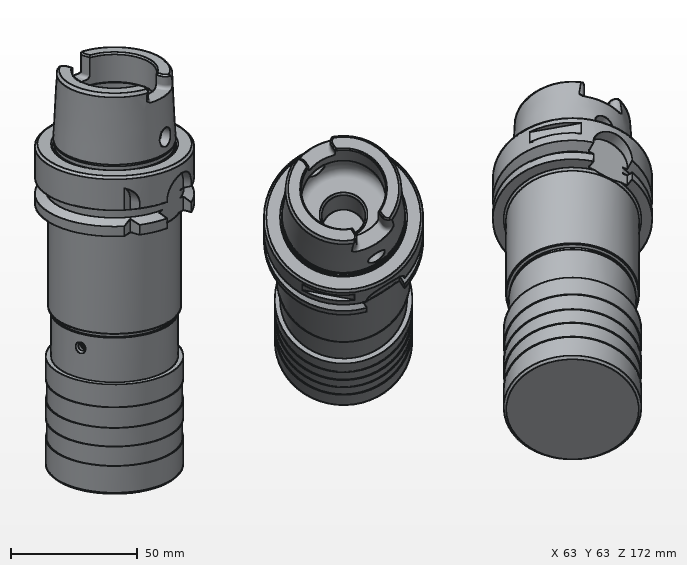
import cadquery as cq
import math

TOTAL_HEIGHT = 172.0
FLANGE_TOP = 140.0
FLANGE_BOTTOM = 114.2

SLEEVE_RADIUS = 27.2
SLEEVE_RELIEF = 0.3
SLEEVE_CHAMFER = 1.0
BAND_EDGES = [12.5, 21.0, 29.0, 38.0, 48.0]

NECK_RADIUS = 25.1
NECK_TOP = 67.3
NECK_GROOVE_RADIUS = 24.8
NECK_GROOVE_TOP = 68.8
BODY_RADIUS = 26.3
BODY_BOTTOM = 69.7
BODY_CHAMFER = 0.3
COLLAR_RADIUS = 27.2
COLLAR_HEIGHT = 1.0

FLANGE_RADIUS = 31.5
FLANGE_CHAMFER = 1.0
GRIP_GROOVE_RADIUS = 27.3
GRIP_GROOVE_BOTTOM = 118.5
GRIP_GROOVE_TOP = 125.5
GRIP_WALL_RISE = 1.9

FACE_GROOVE_RADIUS = 25.1
FACE_GROOVE_DEPTH = 0.7
UNDERCUT_RADIUS = 23.7
UNDERCUT_HEIGHT = 1.0
UNDERCUT_TOP = 2.0
TAPER_BASE_RADIUS = 24.3
TAPER_TOP_RADIUS = 22.9
TOP_CHAMFER = 1.0
TOP_CHAMFER_HEIGHT = 1.4

MOUTH_RADIUS = 17.2
MOUTH_CHAMFER_HEIGHT = 0.9
BORE_RADIUS = 16.7
LIP_BOTTOM = 159.3
LIP_UNDERSIDE_ANGLE = 30
CAVITY_RADIUS = 19.8
CAVITY_FLOOR = 142.8
CAVITY_FLOOR_FILLET = 4.0
COOLANT_RADIUS = 8.6
COOLANT_CHAMFER = 0.9
COOLANT_DEPTH = 17.2
CROSS_HOLE_RADIUS = 4.0
CROSS_HOLE_HEIGHT = 148.8

KEYWAY_HALF_WIDTH = 6.2
KEYWAY_CORNER = 3.1
KEYWAY_FLARE_START = 21.0
KEYWAY_FLOOR_FILLET = 1.5
KEYWAY_CHAMFER = 0.7
KEYWAY_CHAMFER_ANGLE = 45
KEYWAY_FLOORS = {-1: 162.0, 1: 166.2}

FLANGE_KEYWAY_ARCH = 126.0
FLANGE_KEYWAY_FLOOR = 26.5
FLANGE_KEYWAY_HALF_WIDTH = 9.0
NOTCH_CORNER = 20.0
NOTCH_ARCH_RADIUS = 7.9
NOTCH_ARCH_HEIGHT = 128.0

FLAT_DISTANCE = 29.5
FLAT_LENGTH = 21.0
FLAT_BOTTOM = 130.0
FLAT_HEIGHT = 6.2
FLAT_ANGLE = 135

SCREW_HEIGHT = 61.2
SCREW_MOUTH_RADIUS = 2.4
SCREW_RADIUS = 1.5
SCREW_CONE_DEPTH = 0.9
SCREW_DEPTH = 2.5
SOCKET_RADIUS = 0.9
SOCKET_DEPTH = 5.2

CLEARANCE = 17.2


def outer_body():
    """Revolve the whole outer profile about Z."""
    profile = [(0, 0), (SLEEVE_RADIUS - SLEEVE_CHAMFER, 0), (SLEEVE_RADIUS, SLEEVE_CHAMFER)]
    for index, edge in enumerate(BAND_EDGES):
        radius = SLEEVE_RADIUS - SLEEVE_RELIEF * (index % 2)
        next_radius = SLEEVE_RADIUS - SLEEVE_RELIEF * ((index + 1) % 2)
        profile += [(radius, edge), (next_radius, edge)]
    profile[-1] = (NECK_RADIUS, BAND_EDGES[-1])
    profile += [
        (NECK_RADIUS, NECK_TOP),
        (NECK_GROOVE_RADIUS, NECK_TOP + (NECK_RADIUS - NECK_GROOVE_RADIUS)),
        (NECK_GROOVE_RADIUS, NECK_GROOVE_TOP),
        (BODY_RADIUS - BODY_CHAMFER, BODY_BOTTOM - BODY_CHAMFER),
        (BODY_RADIUS, BODY_BOTTOM),
        (BODY_RADIUS, FLANGE_BOTTOM - COLLAR_HEIGHT),
        (COLLAR_RADIUS, FLANGE_BOTTOM),
        (FLANGE_RADIUS, FLANGE_BOTTOM),
        (FLANGE_RADIUS, GRIP_GROOVE_BOTTOM),
        (GRIP_GROOVE_RADIUS, GRIP_GROOVE_BOTTOM + GRIP_WALL_RISE),
        (GRIP_GROOVE_RADIUS, GRIP_GROOVE_TOP - GRIP_WALL_RISE),
        (FLANGE_RADIUS, GRIP_GROOVE_TOP),
        (FLANGE_RADIUS, FLANGE_TOP - FLANGE_CHAMFER),
        (FLANGE_RADIUS - FLANGE_CHAMFER, FLANGE_TOP),
        (FACE_GROOVE_RADIUS, FLANGE_TOP),
        (FACE_GROOVE_RADIUS - FACE_GROOVE_DEPTH, FLANGE_TOP - FACE_GROOVE_DEPTH),
        (UNDERCUT_RADIUS, FLANGE_TOP - FACE_GROOVE_DEPTH),
        (UNDERCUT_RADIUS, FLANGE_TOP + UNDERCUT_HEIGHT),
        (TAPER_BASE_RADIUS, FLANGE_TOP + UNDERCUT_TOP),
        (TAPER_TOP_RADIUS, TOTAL_HEIGHT - TOP_CHAMFER_HEIGHT),
        (TAPER_TOP_RADIUS - TOP_CHAMFER, TOTAL_HEIGHT),
        (0, TOTAL_HEIGHT),
    ]
    return cq.Workplane("XZ").polyline(profile).close().revolve(360, (0, 0), (0, 1))


def interior():
    """Hollow of the shank, widened below its lip, with a blind coolant hole in its floor."""
    underside_drop = (CAVITY_RADIUS - BORE_RADIUS) * math.tan(math.radians(LIP_UNDERSIDE_ANGLE))
    fillet_radius = CAVITY_RADIUS - CAVITY_FLOOR_FILLET
    fillet_height = CAVITY_FLOOR + CAVITY_FLOOR_FILLET
    turn = CAVITY_FLOOR_FILLET * math.sqrt(0.5)
    profile = (
        cq.Workplane("XZ")
        .moveTo(0, TOTAL_HEIGHT)
        .lineTo(MOUTH_RADIUS, TOTAL_HEIGHT)
        .lineTo(BORE_RADIUS, TOTAL_HEIGHT - MOUTH_CHAMFER_HEIGHT)
        .lineTo(BORE_RADIUS, LIP_BOTTOM)
        .lineTo(CAVITY_RADIUS, LIP_BOTTOM - underside_drop)
        .lineTo(CAVITY_RADIUS, fillet_height)
        .threePointArc((fillet_radius + turn, fillet_height - turn), (fillet_radius, CAVITY_FLOOR))
        .lineTo(COOLANT_RADIUS + COOLANT_CHAMFER, CAVITY_FLOOR)
        .lineTo(COOLANT_RADIUS, CAVITY_FLOOR - COOLANT_CHAMFER)
        .lineTo(COOLANT_RADIUS, CAVITY_FLOOR - COOLANT_DEPTH)
        .lineTo(0, CAVITY_FLOOR - COOLANT_DEPTH)
        .close()
    )
    return profile.revolve(360, (0, 0), (0, 1))


def keyway_outline(side, height):
    """Plan outline of a drive keyway at the given height, flared at its outer end."""
    flare_x = side * (KEYWAY_FLARE_START - KEYWAY_CORNER)
    outer_x = side * KEYWAY_FLARE_START
    far_x = side * (TAPER_BASE_RADIUS + CLEARANCE)
    flare_y = KEYWAY_HALF_WIDTH + KEYWAY_CORNER
    wide_y = flare_y + CLEARANCE
    turn = KEYWAY_CORNER * math.sqrt(0.5)
    turn_x = flare_x + side * turn
    turn_y = flare_y - turn
    return (
        cq.Workplane("XY", origin=(0, 0, height))
        .moveTo(0, -KEYWAY_HALF_WIDTH)
        .lineTo(flare_x, -KEYWAY_HALF_WIDTH)
        .threePointArc((turn_x, -turn_y), (outer_x, -flare_y))
        .lineTo(outer_x, -wide_y)
        .lineTo(far_x, -wide_y)
        .lineTo(far_x, wide_y)
        .lineTo(outer_x, wide_y)
        .lineTo(outer_x, flare_y)
        .threePointArc((turn_x, turn_y), (flare_x, KEYWAY_HALF_WIDTH))
        .lineTo(0, KEYWAY_HALF_WIDTH)
        .close()
    )


def shank_keyway(side, floor):
    """Drive keyway on the +X or -X side, rounded along its floor and chamfered at its top edges."""
    slot = keyway_outline(side, floor).extrude(TOTAL_HEIGHT - floor)
    slot = slot.faces("<Z").edges().fillet(KEYWAY_FLOOR_FILLET)
    chamfer_start = TOTAL_HEIGHT - KEYWAY_CHAMFER
    chamfer = keyway_outline(side, chamfer_start).extrude(KEYWAY_CHAMFER, taper=-KEYWAY_CHAMFER_ANGLE)
    return slot.union(chamfer)


def arched_cutter(side, floor, center_y, half_width, arch_height):
    """Round-topped slot entering the flange along X as far as the plane x = side * floor."""
    return (
        cq.Workplane("YZ", origin=(side * floor, 0, 0))
        .moveTo(center_y - half_width, FLANGE_BOTTOM - COLLAR_HEIGHT)
        .lineTo(center_y - half_width, arch_height)
        .threePointArc((center_y, arch_height + half_width), (center_y + half_width, arch_height))
        .lineTo(center_y + half_width, FLANGE_BOTTOM - COLLAR_HEIGHT)
        .close()
        .extrude(side * (FLANGE_RADIUS - floor + CLEARANCE))
    )


def data_flat():
    """Shallow rectangular flat facing the -X +Y diagonal."""
    return (
        cq.Workplane("XY")
        .box(FLANGE_RADIUS, FLAT_LENGTH, FLAT_HEIGHT, centered=(False, True, False))
        .translate((FLAT_DISTANCE, 0, FLAT_BOTTOM))
        .rotate((0, 0, 0), (0, 0, 1), FLAT_ANGLE)
    )


def screw_hole():
    """Countersunk, stepped blind hole entering the neck from the -Y side."""
    profile = [
        (0, -NECK_RADIUS),
        (SCREW_MOUTH_RADIUS, -NECK_RADIUS),
        (SCREW_RADIUS, SCREW_CONE_DEPTH - NECK_RADIUS),
        (SCREW_RADIUS, SCREW_DEPTH - NECK_RADIUS),
        (SOCKET_RADIUS, SCREW_DEPTH - NECK_RADIUS),
        (SOCKET_RADIUS, SOCKET_DEPTH - NECK_RADIUS),
        (0, SOCKET_DEPTH - NECK_RADIUS),
    ]
    cutter = cq.Workplane("XY").polyline(profile).close().revolve(360, (0, 0), (0, 1))
    return cutter.translate((0, 0, SCREW_HEIGHT))


result = outer_body().cut(interior())

for side, floor in KEYWAY_FLOORS.items():
    result = result.cut(shank_keyway(side, floor))

cross_hole = (
    cq.Workplane("YZ")
    .center(0, CROSS_HOLE_HEIGHT)
    .circle(CROSS_HOLE_RADIUS)
    .extrude(TAPER_BASE_RADIUS + CLEARANCE, both=True)
)
result = result.cut(cross_hole)

for side in (-1, 1):
    flange_keyway = arched_cutter(
        side, FLANGE_KEYWAY_FLOOR, 0, FLANGE_KEYWAY_HALF_WIDTH, FLANGE_KEYWAY_ARCH
    )
    result = result.cut(flange_keyway)

notch_center = -(NOTCH_CORNER + NOTCH_ARCH_RADIUS)
result = result.cut(arched_cutter(1, NOTCH_CORNER, notch_center, NOTCH_ARCH_RADIUS, NOTCH_ARCH_HEIGHT))

result = result.cut(data_flat()).cut(screw_hole())